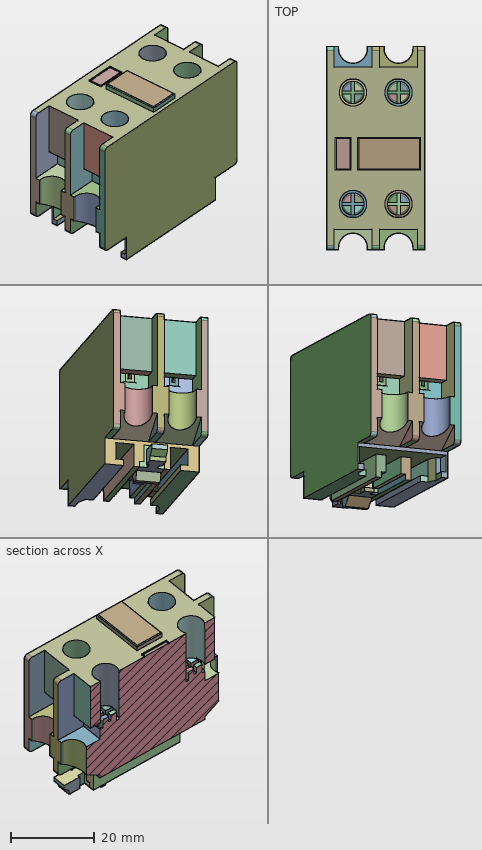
import cadquery as cq

WIDTH = 23.5
LENGTH = 48.8
TOP_Z = 36.75
BODY_BOTTOM_Z = 6.55
CORNER_RADIUS = 1.02
BASE_LENGTH = 32.9
HALF_LENGTH = LENGTH / 2
HALF_WIDTH = WIDTH / 2
HALF_BASE = BASE_LENGTH / 2
SIDES = (-1, 1)

POLE_X = 5.45
POCKET_WIDTH = 9.15
POCKET_DEPTH = 4.95
CAVITY_TOP_Z = 23.3
CAVITY_FLOOR_Z = 18.15
CAVITY_DEPTH = HALF_LENGTH - HALF_BASE
SLOPE_TOP_Z = 11.18
NOTCH_RADIUS = 3.4
NOTCH_INSET = 0.6

SCREW_Y = 13.35
WELL_RADIUS = 3.25
WELL_FLOOR_Z = 21.25
SCREW_RADIUS = 2.7
SCREW_HEIGHT = 2.7
SCREW_ROUNDING = 0.4
SLOT_DEPTH = 1.7
WIDE_SLOT = 0.85
NARROW_SLOT = 0.7

LABEL_Y = -1.3
LABEL_LENGTH = 7.8
LABEL_X = 3.2
LABEL_WIDTH = 15.1
LABEL_HEIGHT = 1.4
LABEL_CHAMFER = 0.25
OUTLINE_X = -7.8
OUTLINE_WIDTH = 3.8
GROOVE_WIDTH = 0.25
GROOVE_DEPTH = 0.25

ROOF_Z = 5.6
THIN_WALL = 0.5
FOOT_WALL = 1.65
THICK_WALL = 2.8
LIP_REACH = 4.65
LIP_HEIGHT = 1.45
RECESS_DEPTH = 3.25
FLARE_LENGTH = 2.45
POST_WIDTH = 9.1
POST_FRONT_Y = RECESS_DEPTH + FLARE_LENGTH - HALF_BASE

WEB_WIDTH = 3.9
FLANGE_WIDTH = 6.3
FLANGE_TOP_Z = 1.4
SLIDER_FRONT_Y = 5.85
SLIDER_CHAMFER = 0.45
WEDGE_WIDTH = 6.05
WEDGE_FRONT_Y = 9.25
WEDGE_BOTTOM_Z = -2.25
WEDGE_TIP_FRONT_Y = WEDGE_FRONT_Y - WEDGE_BOTTOM_Z
WEDGE_TIP_BACK_Y = 12.75
WEDGE_BACK_Y = 13.65
TONGUE_WIDTH = 2.55
TONGUE_STEP_Z = 1.0
TONGUE_LENGTH = 1.95
TONGUE_STEP_LENGTH = 1.0
HOOK_HEIGHT = 3.7
HOOK_START_Y = 18.5
HOOK_TIP_Y = 23.38
HOOK_TOE_Y = 21.85
HOOK_TOE_Z = 1.1
HOOK_CATCH_Z = 2.55


def block(x_range, y_range, z_range):
    """Axis-aligned box between the given limits."""
    (x0, x1), (y0, y1), (z0, z1) = x_range, y_range, z_range
    return cq.Workplane("XY").box(x1 - x0, y1 - y0, z1 - z0, centered=False).translate((x0, y0, z0))


def centred_block(width, y_range, z_range, center_x=0.0):
    """Box of the given width in X, centred on center_x."""
    return block((center_x - width / 2, center_x + width / 2), y_range, z_range)


def side_profile(points, width, center_x=0.0):
    """Closed outline of (y, z) points, extruded symmetrically in X about center_x."""
    outline = cq.Workplane("YZ", origin=(center_x, 0, 0)).polyline(points).close()
    return outline.extrude(width / 2, both=True)


def housing_shell():
    """Rounded upper body standing on the shorter base."""
    body_y = (-HALF_LENGTH, HALF_LENGTH)
    body = centred_block(WIDTH, body_y, (BODY_BOTTOM_Z, TOP_Z)).edges("|X").fillet(CORNER_RADIUS)
    base = centred_block(WIDTH, (-HALF_BASE, HALF_BASE), (0, BODY_BOTTOM_Z))
    return body.union(base)


def wire_pocket(center_x):
    """Space removed at the -Y end of one pole: pocket, clamp cavity, wire notch and sloped underside."""
    end = -HALF_LENGTH
    pocket = centred_block(
        POCKET_WIDTH, (end, end + POCKET_DEPTH), (CAVITY_FLOOR_Z, TOP_Z), center_x
    )
    cavity = centred_block(
        POCKET_WIDTH, (end, end + CAVITY_DEPTH), (CAVITY_FLOOR_Z, CAVITY_TOP_Z), center_x
    )
    notch_y = end + NOTCH_INSET
    notch_height = CAVITY_FLOOR_Z - BODY_BOTTOM_Z
    notch = (
        cq.Workplane("XY", origin=(center_x, notch_y, BODY_BOTTOM_Z))
        .circle(NOTCH_RADIUS)
        .extrude(notch_height)
    )
    notch_mouth = centred_block(
        2 * NOTCH_RADIUS, (end, notch_y), (BODY_BOTTOM_Z, CAVITY_FLOOR_Z), center_x
    )
    slope = side_profile(
        [(end, SLOPE_TOP_Z), (-HALF_BASE, BODY_BOTTOM_Z), (end, BODY_BOTTOM_Z)],
        POCKET_WIDTH,
        center_x,
    )
    return pocket.union(cavity).union(notch).union(notch_mouth).union(slope)


def screw_well(center_x, center_y):
    """Round access hole from the top face down to the screw seat."""
    return (
        cq.Workplane("XY", origin=(center_x, center_y, WELL_FLOOR_Z))
        .circle(WELL_RADIUS)
        .extrude(TOP_Z - WELL_FLOOR_Z)
    )


def screw_head(center_x, center_y):
    """Cross-slotted screw head, moulded in one with its seat."""
    head = cq.Workplane("XY").circle(SCREW_RADIUS).extrude(SCREW_HEIGHT)
    head = head.faces(">Z").edges().fillet(SCREW_ROUNDING)
    slot_z = (SCREW_HEIGHT - SLOT_DEPTH, SCREW_HEIGHT)
    slot_reach = (-SCREW_RADIUS, SCREW_RADIUS)
    head = head.cut(centred_block(WIDE_SLOT, slot_reach, slot_z))
    head = head.cut(block(slot_reach, (-NARROW_SLOT / 2, NARROW_SLOT / 2), slot_z))
    return head.translate((center_x, center_y, WELL_FLOOR_Z))


def raised_label():
    """Raised plate with a chamfered rim on the top face."""
    plate = (
        cq.Workplane("XY", origin=(LABEL_X, LABEL_Y, TOP_Z))
        .rect(LABEL_WIDTH, LABEL_LENGTH)
        .extrude(LABEL_HEIGHT)
    )
    return plate.faces(">Z").chamfer(LABEL_CHAMFER)


def outline_groove():
    """Narrow rectangular groove that frames the small label."""
    return (
        cq.Workplane("XY", origin=(OUTLINE_X, LABEL_Y, TOP_Z - GROOVE_DEPTH))
        .rect(OUTLINE_WIDTH, LABEL_LENGTH)
        .rect(OUTLINE_WIDTH - 2 * GROOVE_WIDTH, LABEL_LENGTH - 2 * GROOVE_WIDTH)
        .extrude(GROOVE_DEPTH)
    )


def underside_channel():
    """Space beside and in front of the -X half of the guide post; the side wall thickens towards +Y."""
    recess_y = -HALF_BASE + RECESS_DEPTH
    thin_x = -HALF_WIDTH + THIN_WALL
    foot_x = -HALF_WIDTH + FOOT_WALL
    thick_x = -HALF_WIDTH + THICK_WALL
    post_x = -POST_WIDTH / 2
    outline = [
        (0, POST_FRONT_Y),
        (0, -HALF_BASE),
        (thin_x, -HALF_BASE),
        (thin_x, recess_y),
        (foot_x, recess_y),
        (thick_x, POST_FRONT_Y),
        (thick_x, HALF_BASE),
        (post_x, HALF_BASE),
        (post_x, POST_FRONT_Y),
    ]
    return cq.Workplane("XY").polyline(outline).close().extrude(ROOF_Z)


def foot_lips():
    """Low lips along the -X side wall: a short one under the recess and a long one behind the flare."""
    lip_z = (0, LIP_HEIGHT)
    front_lip = block(
        (-HALF_WIDTH, -HALF_WIDTH + FOOT_WALL), (-HALF_BASE, -HALF_BASE + RECESS_DEPTH), lip_z
    )
    long_lip = block(
        (-HALF_WIDTH, -HALF_WIDTH + LIP_REACH),
        (POST_FRONT_Y, HALF_BASE),
        lip_z,
    )
    return front_lip.union(long_lip)


def tee_bar(y_range):
    """Inverted-T section shared by the guide slot and the slider."""
    web = centred_block(WEB_WIDTH, y_range, (0, ROOF_Z))
    flange = centred_block(FLANGE_WIDTH, y_range, (0, FLANGE_TOP_Z))
    return web.union(flange)


def build_housing():
    housing = housing_shell()
    for side in SIDES:
        pocket = wire_pocket(side * POLE_X)
        housing = housing.cut(pocket).cut(pocket.mirror("XZ"))
    for x_side in SIDES:
        for y_side in SIDES:
            place = (x_side * POLE_X, y_side * SCREW_Y)
            housing = housing.cut(screw_well(*place)).union(screw_head(*place))
    housing = housing.union(raised_label()).cut(outline_groove())
    channel = underside_channel()
    housing = housing.cut(channel).cut(channel.mirror("YZ"))
    lips = foot_lips()
    housing = housing.union(lips).union(lips.mirror("YZ"))
    return housing.cut(tee_bar((POST_FRONT_Y, HALF_BASE)))


def slider_wedge():
    """Wedge under the slider, with a leading face at 45 degrees."""
    return side_profile(
        [
            (WEDGE_FRONT_Y, 0),
            (WEDGE_TIP_FRONT_Y, WEDGE_BOTTOM_Z),
            (WEDGE_TIP_BACK_Y, WEDGE_BOTTOM_Z),
            (WEDGE_BACK_Y, 0),
        ],
        WEDGE_WIDTH,
    )


def slider_lead_chamfer():
    """Edge removed below the front of the flange."""
    return side_profile(
        [
            (SLIDER_FRONT_Y, SLIDER_CHAMFER),
            (SLIDER_FRONT_Y + SLIDER_CHAMFER, 0),
            (SLIDER_FRONT_Y, 0),
        ],
        FLANGE_WIDTH,
    )


def slider_tongue():
    """Narrow stepped tongue in front of the slider."""
    lower = centred_block(
        TONGUE_WIDTH, (SLIDER_FRONT_Y - TONGUE_LENGTH, WEDGE_FRONT_Y), (0, TONGUE_STEP_Z)
    )
    upper = centred_block(
        TONGUE_WIDTH, (SLIDER_FRONT_Y - TONGUE_STEP_LENGTH, SLIDER_FRONT_Y), (TONGUE_STEP_Z, ROOF_Z)
    )
    return lower.union(upper)


def slider_hook():
    """Neck and wider hook that stand out of the +Y end of the base."""
    neck = centred_block(TONGUE_WIDTH, (HALF_BASE, HOOK_START_Y), (0, HOOK_HEIGHT))
    hook = side_profile(
        [
            (HOOK_START_Y, 0),
            (HOOK_TOE_Y, 0),
            (HOOK_TOE_Y, HOOK_TOE_Z),
            (HOOK_TIP_Y, HOOK_CATCH_Z),
            (HOOK_TIP_Y, HOOK_HEIGHT),
            (HOOK_START_Y, HOOK_HEIGHT),
        ],
        WEB_WIDTH,
    )
    return neck.union(hook)


def build_slider():
    slider = tee_bar((SLIDER_FRONT_Y, HALF_BASE)).cut(slider_lead_chamfer())
    return slider.union(slider_wedge()).union(slider_tongue()).union(slider_hook())


housing = build_housing()
slider = build_slider()
result = cq.Compound.makeCompound([housing.solids().val(), slider.solids().val()])